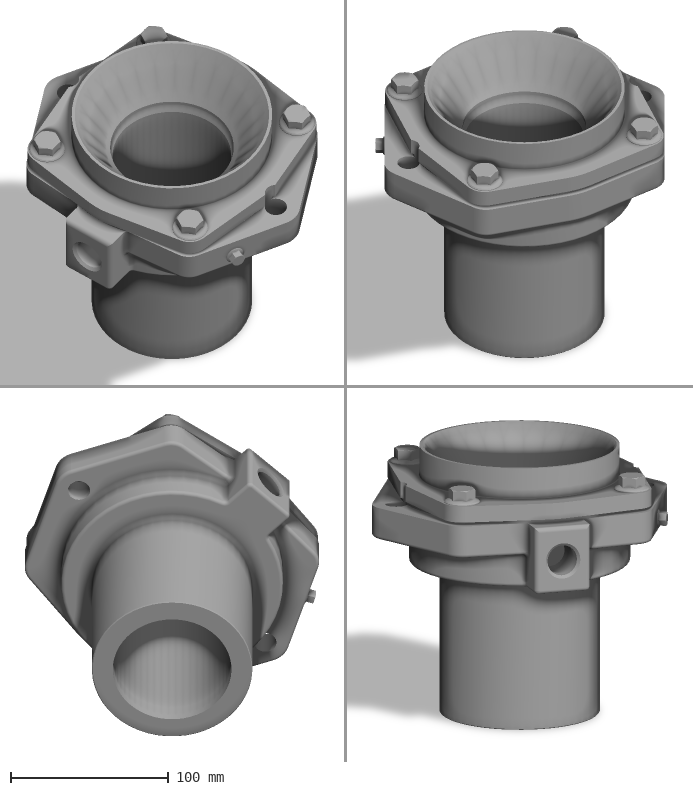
import cadquery as cq
import math


bolt_offset = 56.5
shank_radius = 4.9
shank_depth = 15.6

flange_thickness = 20.7
flange_half_length = 97.5
flange_back_apex = 80.1
flange_front_apex = 75.0
back_slope = math.atan2(1, 6)
front_slope = math.radians(5)
side_lean = math.atan2(1, 2)
flange_corner_radius = 12.7
flange_side_radius = 15.5
apex_radius = 46.8
mount_hole_x = 82.3
mount_hole_radius = 7.0

collar_radius = 70.2
collar_bottom = -42.9
tube_radius = 50.9
tube_bottom = -141.2
tube_edge_chamfer = 0.5
bore_radius = 37.6
bore_mouth_radius = 40.0
bore_mouth_depth = 5.5
edge_round = 2.1
root_fillet = 3.0

block_width = 36.7
block_front = 89.7
block_round = 3.0
port_radius = 9.8
port_chamfer = 1.8
port_depth = 27.3
port_z = -22.2

face_height = 2.3
face_radius = 76.2
plate_top = 12.9
plate_apex = 78.5
plate_corner_radius = 12.7
ring_top = 32.8
ring_radius = 63.5
ring_root_fillet = 0.5
funnel_radius = 61.6
throat_radius = 39.2
throat_height = 2.3

bolt_flats = 15.0
bolt_flange_radius = 11.3
bolt_head_height = 8.8

screw_flats = 8.2
screw_flange_radius = 5.8
screw_head_height = 5.7
screw_shank_radius = 3.0
screw_shank_depth = 11.7
screw_z = -12.3

rim_ratio = 0.04
bevel_ratio = 0.06
cone_ratio = 0.12
crown_angle = math.radians(30)

near = 0.5

bolt_points = [(sx * bolt_offset, sy * bolt_offset) for sx in (-1, 1) for sy in (-1, 1)]
mount_points = [(-mount_hole_x, 0), (mount_hole_x, 0)]

flange_side_apex = flange_half_length + flange_side_radius * (1 / math.cos(side_lean) - 1)
side_face_distance = flange_side_apex * math.cos(side_lean)


def revolved(profile):
    """Turn a closed radius-height profile about the Z axis."""
    return profile.close().revolve(360, (0, 0, 0), (0, 1, 0))


def corner_point(side_apex, lean, end_apex, slope):
    """Where a side through (side_apex, 0) meets a side through (0, end_apex), in the first quadrant."""
    x = (side_apex - end_apex * math.tan(lean)) / (1 - math.tan(slope) * math.tan(lean))
    return x, end_apex - x * math.tan(slope)


def eight_sided_plate(side_apex, lean, back, front, corner_radius, bottom, top):
    """Plate with mirrored left and right halves; back and front are (apex, slope) pairs."""
    back_x, back_y = corner_point(side_apex, lean, *back)
    front_x, front_y = corner_point(side_apex, lean, *front)
    plate = (
        cq.Workplane("XY", origin=(0, 0, bottom))
        .polyline([
            (0, back[0]),
            (back_x, back_y),
            (side_apex, 0),
            (front_x, -front_y),
            (0, -front[0]),
            (-front_x, -front_y),
            (-side_apex, 0),
            (-back_x, back_y),
        ])
        .close()
        .extrude(top - bottom)
    )
    uprights = plate.edges("|Z").vals()
    apexes = [edge for edge in uprights if abs(edge.Center().x) < near]
    corners = [edge for edge in uprights if min(abs(edge.Center().x), abs(edge.Center().y)) > near]
    plate = plate.newObject(corners).fillet(corner_radius)
    return plate.newObject(apexes).fillet(apex_radius)


def housing_flange():
    flange = eight_sided_plate(
        flange_side_apex,
        side_lean,
        (flange_back_apex, back_slope),
        (flange_front_apex, front_slope),
        flange_corner_radius,
        -flange_thickness,
        0,
    )
    flange = flange.edges("|Z").edges("<X or >X").fillet(flange_side_radius)
    return flange.faces("<Z").edges().fillet(edge_round)


def collar():
    root_radius = collar_radius + root_fillet
    return revolved(
        cq.Workplane("XZ")
        .moveTo(0, -flange_thickness / 2)
        .lineTo(root_radius, -flange_thickness / 2)
        .lineTo(root_radius, -flange_thickness)
        .radiusArc((collar_radius, -flange_thickness - root_fillet), -root_fillet)
        .lineTo(collar_radius, collar_bottom)
        .lineTo(0, collar_bottom)
    )


def inlet_block():
    return (
        cq.Workplane("XY")
        .center(0, -block_front / 2)
        .rect(block_width, block_front)
        .extrude(collar_bottom)
    )


def upper_housing():
    """Flange, collar and inlet block, blended together."""
    body = housing_flange().union(collar()).union(inlet_block())

    def is_block_root(edge):
        center = edge.Center()
        on_side = abs(abs(center.x) - block_width / 2) < near
        at_root = -block_front + block_round < center.y < -bolt_offset
        between_faces = collar_bottom + near < center.z < -near
        return on_side and at_root and between_faces

    roots = [edge for edge in body.edges().vals() if is_block_root(edge)]
    body = body.newObject(roots).fillet(root_fillet)
    body = body.faces("<Y").edges("not <Z").fillet(block_round)
    return body.faces("<Z").edges().fillet(edge_round)


def tube():
    return revolved(
        cq.Workplane("XZ")
        .moveTo(0, collar_bottom + edge_round)
        .lineTo(tube_radius + root_fillet, collar_bottom + edge_round)
        .lineTo(tube_radius + root_fillet, collar_bottom)
        .radiusArc((tube_radius, collar_bottom - root_fillet), -root_fillet)
        .lineTo(tube_radius, tube_bottom + tube_edge_chamfer)
        .lineTo(tube_radius - tube_edge_chamfer, tube_bottom)
        .lineTo(0, tube_bottom)
    )


def inlet_port():
    """Blind hole with a chamfered mouth, entering from the front of the block."""
    mouth_radius = port_radius + port_chamfer
    profile = (
        cq.Workplane("XZ")
        .lineTo(mouth_radius, 0)
        .lineTo(port_radius, port_chamfer)
        .lineTo(port_radius, port_depth)
        .lineTo(0, port_depth)
    )
    return revolved(profile).rotate((0, 0, 0), (1, 0, 0), -90).translate((0, -block_front, port_z))


def bore():
    """Through bore with a conical mouth at the top."""
    return revolved(
        cq.Workplane("XZ")
        .lineTo(bore_mouth_radius, 0)
        .lineTo(bore_radius, -bore_mouth_depth)
        .lineTo(bore_radius, tube_bottom)
        .lineTo(0, tube_bottom)
    )


def make_housing():
    mount_holes = cq.Workplane("XY").pushPoints(mount_points).circle(mount_hole_radius).extrude(-flange_thickness)
    bolt_holes = cq.Workplane("XY").pushPoints(bolt_points).circle(shank_radius).extrude(-shank_depth)
    screw_hole = place_screw(cq.Workplane("XY").circle(screw_shank_radius).extrude(-screw_shank_depth))
    body = upper_housing().union(tube())
    for hole in (bore(), mount_holes, bolt_holes, screw_hole, inlet_port()):
        body = body.cut(hole)
    return body


def make_cover():
    end = (plate_apex, back_slope)
    plate = eight_sided_plate(plate_apex, back_slope, end, end, plate_corner_radius, face_height, plate_top)
    face = cq.Workplane("XY").circle(face_radius).extrude(face_height)
    ring = revolved(
        cq.Workplane("XZ")
        .lineTo(ring_radius + ring_root_fillet, 0)
        .lineTo(ring_radius + ring_root_fillet, plate_top)
        .radiusArc((ring_radius, plate_top + ring_root_fillet), ring_root_fillet)
        .lineTo(ring_radius, ring_top)
        .lineTo(0, ring_top)
    )
    funnel = revolved(
        cq.Workplane("XZ")
        .lineTo(throat_radius, 0)
        .lineTo(throat_radius, throat_height)
        .lineTo(funnel_radius, ring_top)
        .lineTo(0, ring_top)
    )
    mount_notches = cq.Workplane("XY").pushPoints(mount_points).circle(mount_hole_radius).extrude(plate_top)
    bolt_holes = cq.Workplane("XY").pushPoints(bolt_points).circle(shank_radius).extrude(plate_top)
    return plate.union(face).union(ring).cut(funnel).cut(mount_notches).cut(bolt_holes)


def flanged_screw(flats, flange_radius, head_height, shank_r, shank_length):
    """Hexagon screw along Z: flange seated on Z = 0, shank below, two hexagon corners on the Y axis."""
    corner_radius = flats / math.sqrt(3)
    hexagon = (
        cq.Workplane("XY")
        .polygon(6, 2 * corner_radius)
        .extrude(head_height)
        .rotate((0, 0, 0), (0, 0, 1), 90)
    )
    crown_drop = (corner_radius - flats / 2) * math.tan(crown_angle)
    crown = revolved(
        cq.Workplane("XZ")
        .lineTo(corner_radius, 0)
        .lineTo(corner_radius, head_height - crown_drop)
        .lineTo(flats / 2, head_height)
        .lineTo(0, head_height)
    )
    rim_height = rim_ratio * flange_radius
    bevel = bevel_ratio * flange_radius
    flange_height = rim_height + bevel + cone_ratio * flange_radius
    flange = revolved(
        cq.Workplane("XZ")
        .lineTo(flange_radius, 0)
        .lineTo(flange_radius, rim_height)
        .lineTo(flange_radius - bevel, rim_height + bevel)
        .lineTo(flats / 2, flange_height)
        .lineTo(0, flange_height)
    )
    shank = cq.Workplane("XY").circle(shank_r).extrude(-shank_length)
    return hexagon.intersect(crown).union(flange).union(shank)


def make_bolt(x, y):
    bolt = flanged_screw(
        bolt_flats, bolt_flange_radius, bolt_head_height, shank_radius, plate_top + shank_depth
    )
    return bolt.translate((x, y, plate_top))


def place_screw(shape):
    """Move a shape built along Z to the front right side of the flange, pointing outward."""
    return (
        shape.rotate((0, 0, 0), (0, 1, 0), 90)
        .translate((side_face_distance, 0, screw_z))
        .rotate((0, 0, 0), (0, 0, 1), -math.degrees(side_lean))
    )


def make_side_screw():
    return place_screw(
        flanged_screw(
            screw_flats, screw_flange_radius, screw_head_height, screw_shank_radius, screw_shank_depth
        )
    )


housing = make_housing()
cover = make_cover()
bolts = [make_bolt(x, y) for x, y in bolt_points]
side_screw = make_side_screw()

result = cq.Compound.makeCompound(
    [housing.val(), cover.val(), *[bolt.val() for bolt in bolts], side_screw.val()]
)